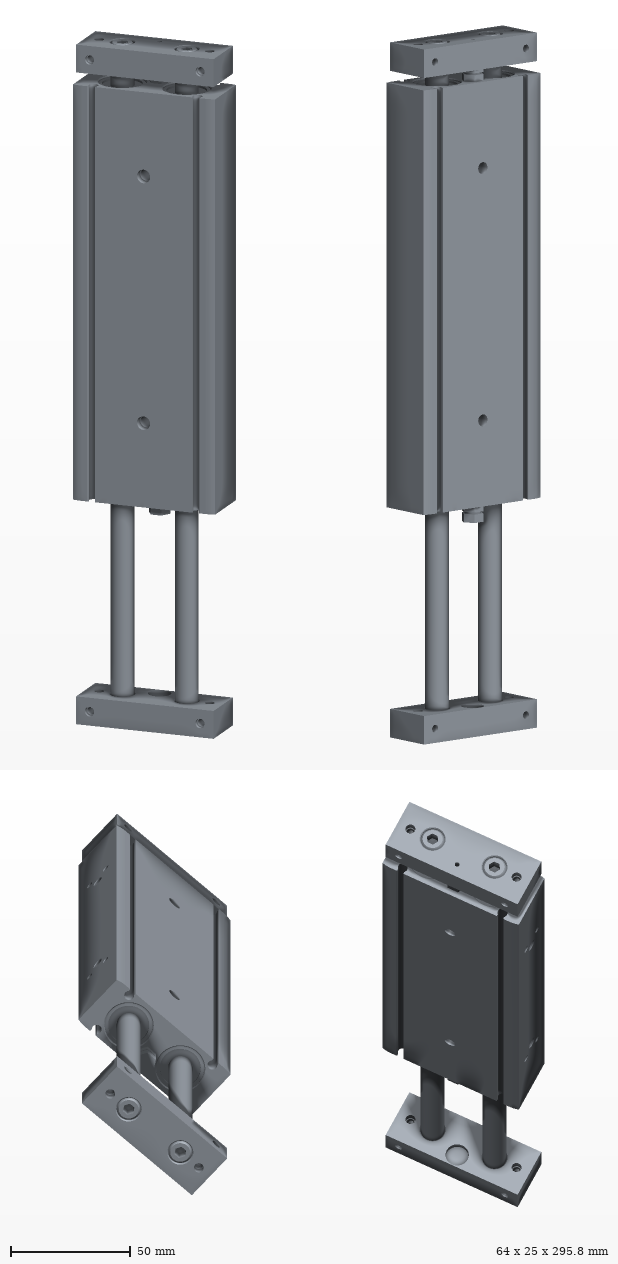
import cadquery as cq
import math

TOTAL_HEIGHT = 295.8
PLATE_THICKNESS = 12.0
UPPER_GAP = 5.0
STROKE_GAP = 85.8
HOUSING_BOTTOM = PLATE_THICKNESS + STROKE_GAP
HOUSING_TOP = TOTAL_HEIGHT - PLATE_THICKNESS - UPPER_GAP
HOUSING_HEIGHT = HOUSING_TOP - HOUSING_BOTTOM
UPPER_PLATE_BOTTOM = TOTAL_HEIGHT - PLATE_THICKNESS

HOUSING_WIDTH = 64.0
HOUSING_DEPTH = 25.0
SIDE_FACE_DEPTH = 24.0
CROWN_START_X = 27.8

SLOT_X = 23.5
SLOT_MOUTH_WIDTH = 3.0
SLOT_LIP_BEVEL = 0.3
SLOT_CHANNEL_DIAMETER = 4.0
SLOT_CHANNEL_DEPTH = 2.5

ROD_DIAMETER = 10.0
ROD_X = 14.5
ROD_CHAMFER = 1.0
SOCKET_ACROSS_FLATS = 4.5
SOCKET_DEPTH = 4.5

SEAL_DIAMETER = 20.0
SEAL_DEPTH = 1.0
SEAL_MOUTH_BEVEL = 0.45
SEAL_STEP_DIAMETER = 17.2
SEAL_STEP_DEPTH = 1.8

MOUNT_HOLE_DIAMETER = 5.0
MOUNT_MOUTH_DIAMETER = 6.0
MOUNT_MOUTH_DEPTH = 3.0
MOUNT_HOLE_INSET = 36.7

PORT_MOUTH_DIAMETER = 5.0
PORT_MOUTH_DEPTH = 1.5
PORT_DIAMETER = 4.0
PORT_DEPTH = 4.5
PORT_PILOT_DIAMETER = 2.0
PORT_INSET = 42.5
SIDE_HOLE_DIAMETER = 3.3
SIDE_HOLE_DEPTH = 4.5
SIDE_HOLE_Y = 5.0
SIDE_HOLE_INSET = 37.0

PLATE_WIDTH = 61.8
PLATE_DEPTH = 22.2
PLATE_HOLE_X = 24.8
PLATE_ROD_HOLE_BEVEL = 0.45
PLATE_END_HOLE_DIAMETER = 3.3
PLATE_END_MOUTH_DIAMETER = 4.0
PLATE_END_MOUTH_DEPTH = 3.0
PLATE_FACE_HOLE_DIAMETER = 3.3
PLATE_FACE_MOUTH_DIAMETER = 4.0
PLATE_FACE_MOUTH_DEPTH = 1.5
VENT_DIAMETER = 2.0

STOP_Y = 6.0
STOP_ACROSS_FLATS = 8.3
STOP_NECK_DIAMETER = 6.8
STOP_NUT_HEIGHT = 2.7
STOP_NECK_HEIGHT = 1.0
STOP_LENGTH = 7.0
STOP_RECESS_DIAMETER = 9.8
STOP_RECESS_DEPTH = 2.5


def cylinder_z(x, y, z, diameter, height):
    return cq.Workplane("XY", origin=(x, y, z)).circle(diameter / 2).extrude(height)


def cylinder_y(x, y, z, diameter, length):
    """Cylinder running from y towards +Y."""
    return cq.Workplane("XZ", origin=(x, y, z)).circle(diameter / 2).extrude(-length)


def cylinder_x(x, y, z, diameter, length):
    """Cylinder running from x towards +X."""
    return cq.Workplane("YZ", origin=(x, y, z)).circle(diameter / 2).extrude(length)


def countersink_z(x, y, z, diameter, bevel, inward):
    """45 degree bevel widening a hole of this diameter at its mouth z; inward points into the part."""
    mouth = cq.Workplane("XY", origin=(x, y, z)).circle(diameter / 2 + bevel)
    return mouth.extrude(inward * bevel, taper=45)


def hexagon_z(x, y, z, across_flats, height):
    across_corners = across_flats / math.cos(math.pi / 6)
    return cq.Workplane("XY", origin=(x, y, z)).polygon(6, across_corners).extrude(height)


def housing_blank():
    half_width = HOUSING_WIDTH / 2
    half_depth = HOUSING_DEPTH / 2
    drop = half_depth - SIDE_FACE_DEPTH / 2
    run = half_width - CROWN_START_X
    crown_radius = (run**2 + drop**2) / (2 * drop)
    mid_angle = math.asin(run / crown_radius) / 2
    mid_x = CROWN_START_X + crown_radius * math.sin(mid_angle)
    mid_y = half_depth - crown_radius * (1 - math.cos(mid_angle))
    half_side = SIDE_FACE_DEPTH / 2
    return (
        cq.Workplane("XY", origin=(0, 0, HOUSING_BOTTOM))
        .moveTo(-CROWN_START_X, half_depth)
        .lineTo(CROWN_START_X, half_depth)
        .threePointArc((mid_x, mid_y), (half_width, half_side))
        .lineTo(half_width, -half_side)
        .threePointArc((mid_x, -mid_y), (CROWN_START_X, -half_depth))
        .lineTo(-CROWN_START_X, -half_depth)
        .threePointArc((-mid_x, -mid_y), (-half_width, -half_side))
        .lineTo(-half_width, half_side)
        .threePointArc((-mid_x, mid_y), (-CROWN_START_X, half_depth))
        .close()
        .extrude(HOUSING_HEIGHT)
    )


def sensor_slot(side_x, side_y):
    x = side_x * SLOT_X
    channel_y = side_y * (HOUSING_DEPTH / 2 - SLOT_CHANNEL_DEPTH)
    channel = cylinder_z(x, channel_y, HOUSING_BOTTOM, SLOT_CHANNEL_DIAMETER, HOUSING_HEIGHT)
    mouth = (
        cq.Workplane("XY", origin=(x, channel_y + side_y * SLOT_CHANNEL_DEPTH / 2, HOUSING_BOTTOM))
        .rect(SLOT_MOUTH_WIDTH, SLOT_CHANNEL_DEPTH)
        .extrude(HOUSING_HEIGHT)
    )
    edge_x = x + side_x * SLOT_MOUTH_WIDTH / 2
    face_y = side_y * HOUSING_DEPTH / 2
    lip_bevel = (
        cq.Workplane("XY", origin=(0, 0, HOUSING_BOTTOM))
        .moveTo(edge_x, face_y)
        .lineTo(edge_x + side_x * SLOT_LIP_BEVEL, face_y)
        .lineTo(edge_x, face_y - side_y * SLOT_LIP_BEVEL)
        .close()
        .extrude(HOUSING_HEIGHT)
    )
    return channel.union(mouth).union(lip_bevel)


def end_features(z, inward):
    """Features measured from one housing end; inward is +1 or -1 along Z."""
    front_y = -HOUSING_DEPTH / 2
    left_x = -HOUSING_WIDTH / 2
    mount_z = z + inward * MOUNT_HOLE_INSET
    port_z = z + inward * PORT_INSET
    side_hole_z = z + inward * SIDE_HOLE_INSET
    cuts = cylinder_y(0, front_y, mount_z, MOUNT_HOLE_DIAMETER, HOUSING_DEPTH)
    cuts = cuts.union(cylinder_y(0, front_y, mount_z, MOUNT_MOUTH_DIAMETER, MOUNT_MOUTH_DEPTH))
    cuts = cuts.union(cylinder_x(left_x, 0, port_z, PORT_MOUTH_DIAMETER, PORT_MOUTH_DEPTH))
    cuts = cuts.union(cylinder_x(left_x, 0, port_z, PORT_DIAMETER, PORT_DEPTH))
    cuts = cuts.union(cylinder_x(left_x, 0, port_z, PORT_PILOT_DIAMETER, -left_x - ROD_X))
    for y in (-SIDE_HOLE_Y, SIDE_HOLE_Y):
        cuts = cuts.union(cylinder_x(left_x, y, side_hole_z, SIDE_HOLE_DIAMETER, SIDE_HOLE_DEPTH))
    for x in (-ROD_X, ROD_X):
        cuts = cuts.union(cylinder_z(x, 0, z, SEAL_DIAMETER, inward * SEAL_DEPTH))
        cuts = cuts.union(countersink_z(x, 0, z, SEAL_DIAMETER, SEAL_MOUTH_BEVEL, inward))
        cuts = cuts.union(cylinder_z(x, 0, z, SEAL_STEP_DIAMETER, inward * SEAL_STEP_DEPTH))
    return cuts


def make_housing():
    body = housing_blank()
    for side_x in (-1, 1):
        body = body.cut(cylinder_z(side_x * ROD_X, 0, HOUSING_BOTTOM, ROD_DIAMETER, HOUSING_HEIGHT))
        for side_y in (-1, 1):
            body = body.cut(sensor_slot(side_x, side_y))
    body = body.cut(end_features(HOUSING_BOTTOM, 1))
    return body.cut(end_features(HOUSING_TOP, -1))


def make_rod(x):
    rod = cylinder_z(x, 0, 0, ROD_DIAMETER, TOTAL_HEIGHT).faces("<Z or >Z").chamfer(ROD_CHAMFER)
    for z in (0, TOTAL_HEIGHT - SOCKET_DEPTH):
        rod = rod.cut(hexagon_z(x, 0, z, SOCKET_ACROSS_FLATS, SOCKET_DEPTH))
    return rod


def make_end_plate(inner_face, outward):
    """End plate whose housing-side face is at inner_face; outward is +1 or -1 along Z."""
    outer_face = inner_face + outward * PLATE_THICKNESS
    through = outward * PLATE_THICKNESS
    mouth_depth = outward * PLATE_END_MOUTH_DEPTH
    mid_z = (inner_face + outer_face) / 2
    front_y = -PLATE_DEPTH / 2
    plate = (
        cq.Workplane("XY", origin=(0, 0, inner_face)).rect(PLATE_WIDTH, PLATE_DEPTH).extrude(through)
    )
    for side in (-1, 1):
        rod_x = side * ROD_X
        hole_x = side * PLATE_HOLE_X
        cuts = [
            cylinder_z(rod_x, 0, inner_face, ROD_DIAMETER, through),
            countersink_z(rod_x, 0, inner_face, ROD_DIAMETER, PLATE_ROD_HOLE_BEVEL, outward),
            countersink_z(rod_x, 0, outer_face, ROD_DIAMETER, PLATE_ROD_HOLE_BEVEL, -outward),
            cylinder_z(hole_x, 0, inner_face, PLATE_END_HOLE_DIAMETER, through),
            cylinder_z(hole_x, 0, inner_face, PLATE_END_MOUTH_DIAMETER, mouth_depth),
            cylinder_z(hole_x, 0, outer_face, PLATE_END_MOUTH_DIAMETER, -mouth_depth),
            cylinder_y(hole_x, front_y, mid_z, PLATE_FACE_HOLE_DIAMETER, PLATE_DEPTH),
            cylinder_y(hole_x, front_y, mid_z, PLATE_FACE_MOUTH_DIAMETER, PLATE_FACE_MOUTH_DEPTH),
        ]
        for cut in cuts:
            plate = plate.cut(cut)
    stop_recess = cylinder_z(
        0, STOP_Y, inner_face, STOP_RECESS_DIAMETER, outward * STOP_RECESS_DEPTH
    )
    return plate.cut(stop_recess)


def cut_vent(plate):
    """Small hole through the upper plate, in line with its stop bolt recess."""
    return plate.cut(cylinder_z(0, STOP_Y, UPPER_PLATE_BOTTOM, VENT_DIAMETER, PLATE_THICKNESS))


def make_stop_bolt(z, outward):
    """Stop bolt seated on the housing end at z; outward is +1 or -1 along Z."""
    head_offset = STOP_NUT_HEIGHT + STOP_NECK_HEIGHT
    head_z = z + outward * head_offset
    nut = hexagon_z(0, STOP_Y, z, STOP_ACROSS_FLATS, outward * STOP_NUT_HEIGHT)
    neck = cylinder_z(0, STOP_Y, z, STOP_NECK_DIAMETER, outward * STOP_LENGTH)
    head = hexagon_z(0, STOP_Y, head_z, STOP_ACROSS_FLATS, outward * (STOP_LENGTH - head_offset))
    return nut.union(neck).union(head)


housing = make_housing()
rods = [make_rod(x) for x in (-ROD_X, ROD_X)]
lower_plate = make_end_plate(PLATE_THICKNESS, -1)
upper_plate = cut_vent(make_end_plate(UPPER_PLATE_BOTTOM, 1))
stop_bolts = [make_stop_bolt(HOUSING_BOTTOM, -1), make_stop_bolt(HOUSING_TOP, 1)]

result = cq.Compound.makeCompound(
    [
        housing.val(),
        *[rod.val() for rod in rods],
        lower_plate.val(),
        upper_plate.val(),
        *[bolt.val() for bolt in stop_bolts],
    ]
)